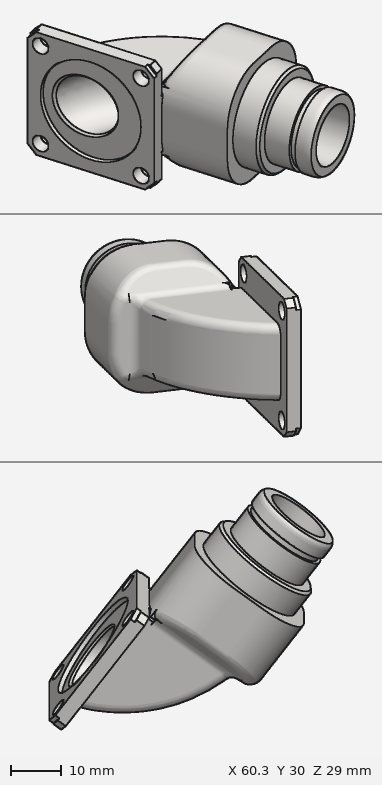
import cadquery as cq
import math


overall_length = 60.3

flange_side = 29.0
flange_half = flange_side / 2
flange_thickness = 3.0
corner_chamfer = 1.5
front_corner_chamfer = 2.05
front_corner_depth = 1.0
recess_diameter = 23.05
recess_depth = 1.0
screw_hole_diameter = 3.6
screw_hole_offset = 11.5

elbow_width = 16.15
elbow_half = elbow_width / 2
elbow_end_chamfer = 1.5
flare_bottom_y = 5.2
blend_radius = 2.0

collar_side = 27.0
collar_half = collar_side / 2
collar_corner_radius = 10.0
collar_start = 13.5
collar_end = 29.55
collar_slant = math.radians(30)
collar_slant_end = collar_start + (collar_half - elbow_half) * math.tan(collar_slant)

axis_y = flange_thickness + collar_half
spigot_end = overall_length - flange_half
shoulder_diameter = 22.75
shoulder_end = 35.4
shoulder_edge = 0.55
spigot_radius = 9.0
groove_radius = 8.25
groove_start = 41.05
groove_end = 42.4
tip_length = 1.25
tip_drop = 0.5

bend_radius = 24.95
bend_center = (21.1, axis_y - bend_radius)
elbow_back_radius = bend_radius + spigot_radius
bore_radius = 6.5
mouth_chamfer = 0.5

pick_margin = 0.05


def point_on(center, radius, angle):
    return (center[0] + radius * math.cos(angle), center[1] + radius * math.sin(angle))


def flange_plate(depth, chamfer):
    plate = cq.Workplane("XZ").rect(flange_side, flange_side).extrude(-depth)
    return plate.edges("|Y").chamfer(chamfer)


def make_flange():
    """Square plate whose corners are cut back further over the front part of its thickness."""
    front = flange_plate(front_corner_depth, front_corner_chamfer)
    rear = flange_plate(flange_thickness, corner_chamfer)
    front_zone = cq.Workplane("XZ").rect(flange_side, flange_side).extrude(-front_corner_depth)
    return rear.cut(front_zone).union(front)


def make_collar():
    prism = (
        cq.Workplane("YZ", origin=(collar_start, axis_y, 0))
        .rect(collar_side, collar_side)
        .extrude(collar_end - collar_start)
        .edges("|X")
        .fillet(collar_corner_radius)
    )
    wedge = (
        cq.Workplane("XZ")
        .moveTo(collar_start, -elbow_half)
        .lineTo(collar_start, elbow_half)
        .lineTo(collar_slant_end, collar_half)
        .lineTo(collar_end, collar_half)
        .lineTo(collar_end, -collar_half)
        .lineTo(collar_slant_end, -collar_half)
        .close()
        .extrude(-(axis_y + collar_half))
    )
    inlet_edges = cq.selectors.BoxSelector(
        (collar_start - pick_margin, 0, -collar_side),
        (collar_slant_end + pick_margin, axis_y + collar_side, collar_side),
    )
    sharp = prism.intersect(wedge)
    elbow_foot = cq.Workplane("XZ").rect(2 * collar_end, elbow_width).extrude(-axis_y)
    return sharp.edges(inlet_edges).fillet(blend_radius).union(sharp.intersect(elbow_foot))


def make_elbow_sides():
    """Prism along Y: flat sides, flared onto the slanted collar faces above the collar's rim."""
    flare_reach = blend_radius * math.tan((math.pi / 2 - collar_slant) / 2)
    flare_start_x = collar_start - flare_reach
    flare_end_x = collar_start + flare_reach * math.sin(collar_slant)
    flare_end_z = elbow_half + flare_reach * math.cos(collar_slant)
    mid_angle = -(math.pi / 2 + collar_slant) / 2
    mid_x, mid_z = point_on((flare_start_x, elbow_half + blend_radius), blend_radius, mid_angle)
    flared = (
        cq.Workplane("XZ", origin=(0, flare_bottom_y, 0))
        .moveTo(-flange_half, -elbow_half)
        .lineTo(-flange_half, elbow_half)
        .lineTo(flare_start_x, elbow_half)
        .threePointArc((mid_x, mid_z), (flare_end_x, flare_end_z))
        .lineTo(flare_end_x, -flare_end_z)
        .threePointArc((mid_x, -mid_z), (flare_start_x, -elbow_half))
        .close()
        .extrude(-flange_side)
    )
    flat_sided = (
        cq.Workplane("XZ", origin=(0, flange_thickness, 0))
        .rect(flange_side, elbow_width)
        .extrude(-flange_side)
        .edges("|Y and >X")
        .chamfer(elbow_end_chamfer)
    )
    return flared.union(flat_sided)


def make_elbow():
    """Side prism trimmed by the arched back, which flares onto the flat collar face."""
    flare_center_x = collar_start - blend_radius
    flare_center_angle = math.acos((flare_center_x - bend_center[0]) / (elbow_back_radius + blend_radius))
    flare_center = point_on(bend_center, elbow_back_radius + blend_radius, flare_center_angle)
    flare_mid_angle = (flare_center_angle - math.pi) / 2
    foot_angle = math.pi - math.asin((flange_thickness - bend_center[1]) / elbow_back_radius)
    back_mid_angle = (foot_angle + flare_center_angle) / 2
    back = (
        cq.Workplane("XY", origin=(0, 0, -flange_half))
        .moveTo(*point_on(bend_center, elbow_back_radius, foot_angle))
        .threePointArc(
            point_on(bend_center, elbow_back_radius, back_mid_angle),
            point_on(bend_center, elbow_back_radius, flare_center_angle),
        )
        .threePointArc(
            point_on(flare_center, blend_radius, flare_mid_angle),
            (collar_start, flare_center[1]),
        )
        .lineTo(flange_half, flare_center[1])
        .lineTo(flange_half, flange_thickness)
        .close()
        .extrude(flange_side)
    )
    back_edges = cq.selectors.BoxSelector(
        (-flange_half, flange_thickness, -flange_half),
        (flare_center_x, axis_y + spigot_radius, flange_half),
    )
    elbow = make_elbow_sides().intersect(back)
    return elbow.edges(back_edges).edges("%CIRCLE").fillet(blend_radius)


def make_spigot():
    """Turned shoulder and grooved spigot with a rounded tip, revolved about the spigot axis."""
    shoulder_radius = shoulder_diameter / 2
    tip_arc_radius = (tip_length**2 + tip_drop**2) / (2 * tip_drop)
    tip_start = spigot_end - tip_length
    tip_arc_center = (tip_start, spigot_radius - tip_arc_radius)
    tip_mid_angle = math.pi / 2 - math.asin(tip_length / tip_arc_radius) / 2
    return (
        cq.Workplane("XY", origin=(0, axis_y, 0))
        .moveTo(collar_end, 0)
        .lineTo(collar_end, shoulder_radius)
        .lineTo(shoulder_end - shoulder_edge, shoulder_radius)
        .lineTo(shoulder_end, shoulder_radius - shoulder_edge)
        .lineTo(shoulder_end, spigot_radius)
        .lineTo(groove_start, spigot_radius)
        .lineTo(groove_start, groove_radius)
        .lineTo(groove_end, groove_radius)
        .lineTo(groove_end, spigot_radius)
        .lineTo(tip_start, spigot_radius)
        .threePointArc(
            point_on(tip_arc_center, tip_arc_radius, tip_mid_angle),
            (spigot_end, spigot_radius - tip_drop),
        )
        .lineTo(spigot_end, 0)
        .close()
        .revolve(360, (0, 0, 0), (1, 0, 0))
    )


def make_bore():
    """Round passage: a quarter bend in from the flange, then straight out through the spigot."""
    section = cq.Workplane("YZ", origin=(bend_center[0], axis_y, 0)).circle(bore_radius)
    bend = section.revolve(90, (-bend_radius, -0.6, 0), (-bend_radius, 0, 0))
    straight = (
        cq.Workplane("YZ", origin=(bend_center[0], axis_y, 0))
        .circle(bore_radius)
        .extrude(spigot_end - bend_center[0])
    )
    return bend.union(straight)


def make_recess():
    return cq.Workplane("XZ").circle(recess_diameter / 2).extrude(-recess_depth)


def make_screw_holes():
    return (
        cq.Workplane("XZ")
        .rect(2 * screw_hole_offset, 2 * screw_hole_offset, forConstruction=True)
        .vertices()
        .circle(screw_hole_diameter / 2)
        .extrude(-flange_thickness)
    )


def chamfer_mouth(body):
    """Break the oval edge where the bore opens in the recess floor."""
    floor_edges = cq.selectors.BoxSelector(
        (-flange_half, recess_depth - pick_margin, -flange_half),
        (flange_half, recess_depth + pick_margin, flange_half),
    )
    return body.edges(floor_edges).edges("not (%CIRCLE or %LINE)").chamfer(mouth_chamfer)


body = make_collar().union(make_elbow()).union(make_spigot()).union(make_flange())
body = body.cut(make_recess()).cut(make_screw_holes()).cut(make_bore())
result = chamfer_mouth(body)